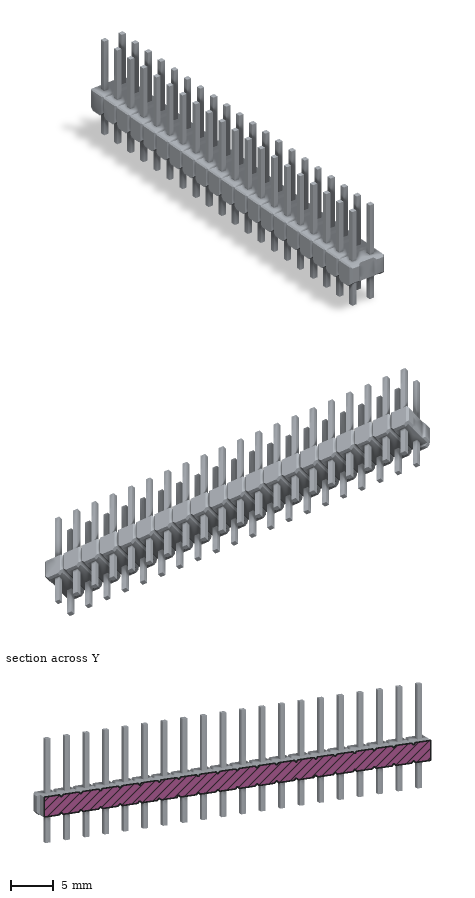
import cadquery as cq


columns = 20
pitch = 2.55
pin_side = 0.6
pin_length = 12.7

strip_length = columns * pitch
strip_width = 5.0
strip_bottom = 3.2
strip_top = 6.0
strip_height = strip_top - strip_bottom

corner_bevel = 0.25
top_end_bevel = 0.25
top_side_bevel = 0.15
bottom_end_bevel = 0.55

channel_depth = 0.3
rail_width = 0.45

recess_depth = 0.25
recess_mouth_width = 2.55
recess_floor_width = 2.0

column_positions = [((column + 0.5) * pitch - strip_length / 2, 0) for column in range(columns)]
pin_positions = [(x, row * pitch / 2) for x, _ in column_positions for row in (-1, 1)]


def make_cell():
    """One cell of the strip, centred on the Z axis: the common volume of its three outlines."""
    half_pitch = pitch / 2
    half_width = strip_width / 2
    channel_half_width = half_width - rail_width
    channel_top = strip_bottom + channel_depth

    plan = (
        cq.Workplane("XY")
        .workplane(offset=strip_bottom)
        .rect(pitch, strip_width)
        .extrude(strip_height)
        .edges("|Z")
        .chamfer(corner_bevel)
    )

    long_outline = (
        cq.Workplane("XZ")
        .polyline([
            (-half_pitch + bottom_end_bevel, strip_bottom),
            (half_pitch - bottom_end_bevel, strip_bottom),
            (half_pitch, strip_bottom + bottom_end_bevel),
            (half_pitch, strip_top - top_end_bevel),
            (half_pitch - top_end_bevel, strip_top),
            (-half_pitch + top_end_bevel, strip_top),
            (-half_pitch, strip_top - top_end_bevel),
            (-half_pitch, strip_bottom + bottom_end_bevel),
        ])
        .close()
        .extrude(half_width, both=True)
    )

    cross_outline = (
        cq.Workplane("YZ")
        .polyline([
            (-half_width, strip_bottom),
            (-channel_half_width, strip_bottom),
            (-channel_half_width, channel_top),
            (channel_half_width, channel_top),
            (channel_half_width, strip_bottom),
            (half_width, strip_bottom),
            (half_width, strip_top - top_side_bevel),
            (half_width - top_side_bevel, strip_top),
            (-half_width + top_side_bevel, strip_top),
            (-half_width, strip_top - top_side_bevel),
        ])
        .close()
        .extrude(half_pitch, both=True)
    )

    return plan.intersect(long_outline).intersect(cross_outline)


def make_end_recess(side):
    """Material removed from the end face at -X (side = -1) or +X (side = 1)."""
    face_x = side * strip_length / 2
    floor_x = face_x - side * recess_depth
    return (
        cq.Workplane("XY")
        .workplane(offset=strip_bottom)
        .polyline([
            (face_x, -recess_mouth_width / 2),
            (floor_x, -recess_floor_width / 2),
            (floor_x, recess_floor_width / 2),
            (face_x, recess_mouth_width / 2),
        ])
        .close()
        .extrude(strip_height)
    )


cell = make_cell().val()
strip = (
    cq.Workplane("XY")
    .pushPoints(column_positions)
    .eachpoint(lambda location: cell.moved(location), combine="a")
)
for side in (-1, 1):
    strip = strip.cut(make_end_recess(side))

pins = cq.Workplane("XY").pushPoints(pin_positions).rect(pin_side, pin_side).extrude(pin_length)

result = strip.union(pins)